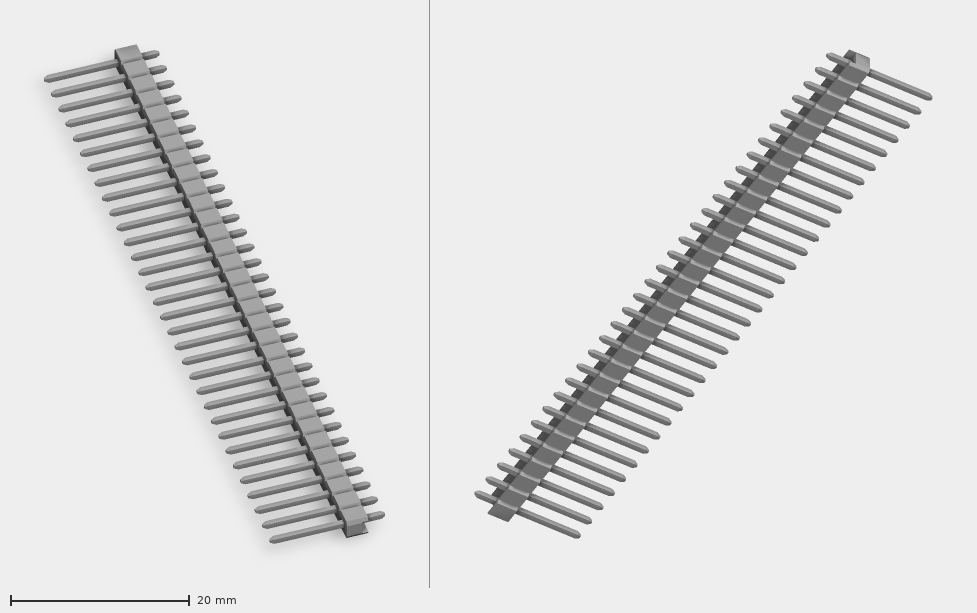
import cadquery as cq

pin_count = 32
length = 81.3
pitch = length / pin_count

body_depth = pitch
body_height = pitch
corner_run = 0.285
corner_drop = 0.5
channel_depth = 0.7
channel_height = 1.7

pin_width = 0.64
pin_length = 13.6
pin_rear_length = 2.35
tip_length = 0.5
tip_width = 0.3
pin_offset = -0.1

pin_rear_y = body_depth + pin_rear_length
cell_centres = [(i + 0.5) * pitch - length / 2 for i in range(pin_count)]


def make_body():
    """Cells joined side by side; their bevelled corners form V grooves above and below."""
    half_width = pitch / 2
    half_height = body_height / 2
    half_flat = half_width - corner_run
    shoulder = half_height - corner_drop

    top_edge = []
    for x in cell_centres:
        top_edge += [(x - half_width, shoulder), (x - half_flat, half_height), (x + half_flat, half_height)]
    top_edge.append((length / 2, shoulder))
    bottom_edge = [(x, -z) for x, z in reversed(top_edge)]

    strip = cq.Workplane("XZ").polyline(top_edge + bottom_edge).close().extrude(-body_depth)
    channel = cq.Workplane("XY").box(length, channel_depth, channel_height)
    return strip.cut(channel.translate((0, body_depth - channel_depth / 2, 0)))


def make_pin():
    """Square pin on the Y axis, with a tapered tip at each end."""
    shaft_length = pin_length - 2 * tip_length
    shaft_rear = cq.Workplane("XZ", origin=(0, pin_rear_y - tip_length, 0))
    shaft = shaft_rear.rect(pin_width, pin_width).extrude(shaft_length)
    pin = shaft
    for end_face in (">Y", "<Y"):
        tip = (
            shaft.faces(end_face)
            .workplane(centerOption="CenterOfBoundBox")
            .rect(pin_width, pin_width)
            .workplane(offset=tip_length)
            .rect(tip_width, tip_width)
            .loft(combine=False)
        )
        pin = pin.union(tip)
    return pin


pin = make_pin().val()
pin_places = [cq.Vector(x + pin_offset, 0, 0) for x in cell_centres]
pins = cq.Workplane("XY").newObject([pin.translate(place) for place in pin_places])
result = make_body().union(pins)